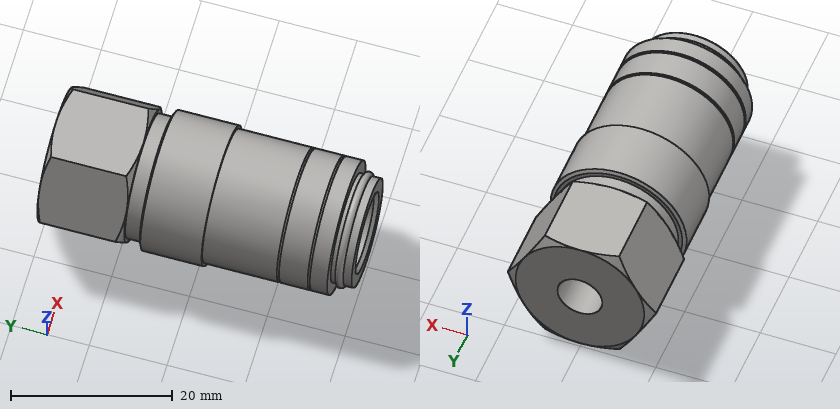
import cadquery as cq
import math

length = 40.0

nose_radius = 7.0
bead_radius = 7.45
bead_middle = 1.6
bead_half_width = 0.5

body_radius = 8.6
body_start = 2.7
groove_starts = (4.9, 8.9)
groove_width = 0.3
groove_depth = 0.1

sleeve_radius = 9.0
sleeve_start = 18.7
sleeve_end = 26.8
sleeve_bevel_length = 0.25
sleeve_bevel_height = 0.5

neck_radius = 8.0
hex_start = 28.8
hex_flats = 17.0
hex_bevel_angle = 30.0

through_radius = 2.95
socket_radius = 4.7
socket_mouth_radius = 5.25
socket_bevel_length = 0.5
socket_depth = 16.0


def revolve_about_y(profile):
    """Revolve a closed (radius, Y) profile about the Y axis."""
    return profile.close().revolve(360, (0, 0, 0), (0, 1, 0))


def ring(inner_radius, outer_radius, start, width):
    """Plain ring on the Y axis."""
    return revolve_about_y(
        cq.Workplane("XY")
        .moveTo(inner_radius, start)
        .lineTo(outer_radius, start)
        .lineTo(outer_radius, start + width)
        .lineTo(inner_radius, start + width)
    )


def turned_body():
    """Nose, bead, body, sleeve and neck as one turned solid."""
    return revolve_about_y(
        cq.Workplane("XY")
        .lineTo(nose_radius, 0)
        .lineTo(nose_radius, bead_middle - bead_half_width)
        .threePointArc((bead_radius, bead_middle), (nose_radius, bead_middle + bead_half_width))
        .lineTo(nose_radius, body_start)
        .lineTo(body_radius, body_start)
        .lineTo(body_radius, sleeve_start)
        .lineTo(sleeve_radius, sleeve_start)
        .lineTo(sleeve_radius, sleeve_end - sleeve_bevel_length)
        .lineTo(sleeve_radius - sleeve_bevel_height, sleeve_end)
        .lineTo(neck_radius, sleeve_end)
        .lineTo(neck_radius, hex_start)
        .lineTo(0, hex_start)
    )


def bevelled_hexagon():
    """Hexagon with corners on X, its corners turned off conically at both ends."""
    flat_radius = hex_flats / 2
    corner_radius = flat_radius / math.cos(math.radians(30))
    bevel_length = (corner_radius - flat_radius) * math.tan(math.radians(hex_bevel_angle))
    prism = (
        cq.Workplane("XZ", origin=(0, length, 0))
        .polygon(6, 2 * corner_radius)
        .extrude(length - hex_start)
    )
    envelope = revolve_about_y(
        cq.Workplane("XY")
        .moveTo(0, hex_start)
        .lineTo(flat_radius, hex_start)
        .lineTo(corner_radius, hex_start + bevel_length)
        .lineTo(corner_radius, length - bevel_length)
        .lineTo(flat_radius, length)
        .lineTo(0, length)
    )
    return prism.intersect(envelope)


def stepped_bore():
    """Bevelled socket at the nose, followed by the smaller through hole."""
    return revolve_about_y(
        cq.Workplane("XY")
        .lineTo(socket_mouth_radius, 0)
        .lineTo(socket_radius, socket_bevel_length)
        .lineTo(socket_radius, socket_depth)
        .lineTo(through_radius, socket_depth)
        .lineTo(through_radius, length)
        .lineTo(0, length)
    )


coupling = turned_body().union(bevelled_hexagon())
for groove_start in groove_starts:
    groove = ring(body_radius - groove_depth, sleeve_radius, groove_start, groove_width)
    coupling = coupling.cut(groove)

result = coupling.cut(stepped_bore())